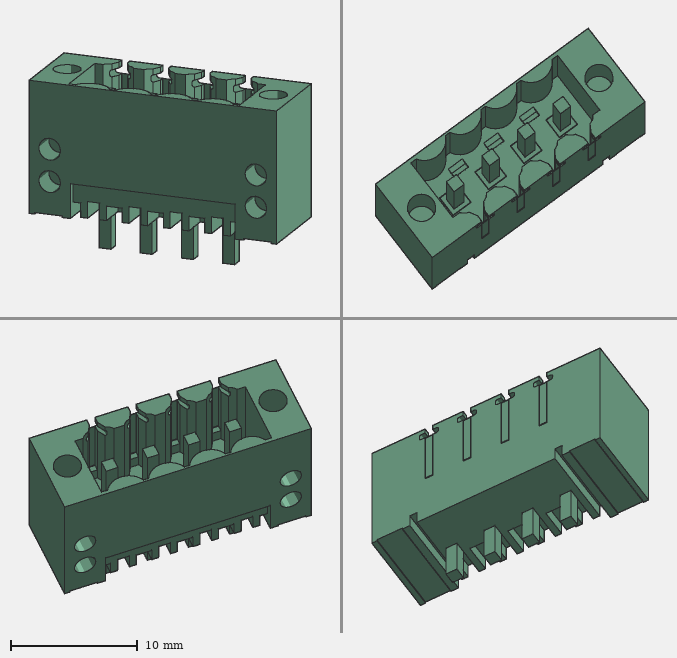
import cadquery as cq

LENGTH = 21.0
DEPTH = 7.45
HEIGHT = 11.07
BACK = DEPTH / 2
FRONT = -DEPTH / 2

PIN_COUNT = 4
PITCH = LENGTH / (PIN_COUNT + 2)
PIN_WIDTH = 1.0
PIN_TAIL = 3.2
PIN_TOP = 9.85
PIN_Y = -0.23
PIN_FRONT = PIN_Y - PIN_WIDTH / 2
PIN_XS = [(i - (PIN_COUNT - 1) / 2) * PITCH for i in range(PIN_COUNT)]
MID_XS = [x + PITCH / 2 for x in PIN_XS[:-1]]

CAVITY_LENGTH = 14.5
CAVITY_FLOOR = 4.0
BACK_WALL = 1.62
END_FRONT_WALL = 0.32
MIDDLE_FRONT_WALL = 0.19
BUMP_RADIUS = 1.7
BUMP_PEAK = 1.13

CHANNEL_WIDTH = 0.7
CHANNEL_FLOOR = 5.0
WEB_BACK = 0.02
WEB_FRONT = 0.06
FLARE_START = 0.55
KNEE_X = 0.71
KNEE_DEPTH = 1.2
MOUTH_X = 1.3
MOUTH_ARC_X = 1.07
MOUTH_ARC_DEPTH = 1.36

LATCH_LENGTH = 1.76
LATCH_HEIGHT = 0.59
LATCH_CORNER_RADIUS = 0.2
LATCH_BOTTOM = HEIGHT - 1.1

PIN_RECESS_WIDTH = 1.76
PIN_RECESS_DEPTH = 0.2
POCKET_WIDTH = 1.39
POCKET_BACK = BACK - 5.45
POCKET_RIDGE = BACK - 5.9
POCKET_FRONT = BACK - 6.28
POCKET_DEPTH = 0.38

HOLE_X = (PIN_COUNT + 1) / 2 * PITCH
TOP_HOLE_DIAMETER = 2.2
TOP_HOLE_DEPTH = 4.2
FRONT_HOLE_DIAMETER = 1.8
FRONT_HOLE_DEPTH = 2.1
FRONT_HOLE_ZS = (2.85, 5.55)

RECESS_LENGTH = PIN_COUNT * PITCH
RECESS_HEIGHT = 2.9
RECESS_DEPTH = 0.59
NOTCH_WIDTH = 0.65
NOTCH_HEIGHT = 1.2
GROOVE_WIDTH = 1.32
PIN_SLOT_HEIGHT = 1.39
FOOT_GAP_WIDTH = 2.33
FOOT_GAP_X = 8.86
FOOT_GAP_HEIGHT = 0.13


def block(x, width, y_front, y_back, z_bottom, z_top):
    """Box centred on x and spanning the given Y and Z limits."""
    size = (width, y_back - y_front, z_top - z_bottom)
    return cq.Workplane("XY").box(*size, centered=(True, False, False)).translate((x, y_front, z_bottom))


def plug_cavity():
    """Cavity open at the top, with a round bump on the front wall opposite each pin."""
    back = BACK - BACK_WALL
    cavity = block(0, CAVITY_LENGTH, FRONT + END_FRONT_WALL, back, CAVITY_FLOOR, HEIGHT)
    middle_length = PIN_XS[-1] - PIN_XS[0]
    cavity = cavity.union(block(0, middle_length, FRONT + MIDDLE_FRONT_WALL, back, CAVITY_FLOOR, HEIGHT))
    bumps = (
        cq.Workplane("XY", origin=(0, FRONT + BUMP_PEAK - BUMP_RADIUS, CAVITY_FLOOR))
        .pushPoints([(x, 0) for x in PIN_XS])
        .circle(BUMP_RADIUS)
        .extrude(HEIGHT - CAVITY_FLOOR)
    )
    return cavity.cut(bumps)


def keying_channel(x):
    """Channel flaring into the cavity, closed behind by a thin set-back web below the latch slot."""
    half = CHANNEL_WIDTH / 2
    flare = (
        cq.Workplane("XY", origin=(x, BACK, CAVITY_FLOOR))
        .moveTo(-half, -FLARE_START)
        .lineTo(half, -FLARE_START)
        .lineTo(KNEE_X, -KNEE_DEPTH)
        .threePointArc((MOUTH_ARC_X, -MOUTH_ARC_DEPTH), (MOUTH_X, -BACK_WALL))
        .lineTo(-MOUTH_X, -BACK_WALL)
        .threePointArc((-MOUTH_ARC_X, -MOUTH_ARC_DEPTH), (-KNEE_X, -KNEE_DEPTH))
        .close()
        .extrude(HEIGHT - CAVITY_FLOOR)
    )
    throat = block(x, CHANNEL_WIDTH, BACK - FLARE_START, BACK - WEB_FRONT, CHANNEL_FLOOR, HEIGHT)
    web_setback = block(x, CHANNEL_WIDTH, BACK - WEB_BACK, BACK, CHANNEL_FLOOR, HEIGHT)
    opening = block(x, CHANNEL_WIDTH, BACK - FLARE_START, BACK, LATCH_BOTTOM, HEIGHT)
    latch = block(x, LATCH_LENGTH, BACK - BACK_WALL, BACK, LATCH_BOTTOM, LATCH_BOTTOM + LATCH_HEIGHT)
    latch = latch.edges("|Y").fillet(LATCH_CORNER_RADIUS)
    return flare.union(throat).union(web_setback).union(opening).union(latch)


def floor_pocket(x):
    """Shallow pocket in the cavity floor whose front side slopes up to the floor."""
    return (
        cq.Workplane("YZ", origin=(x - POCKET_WIDTH / 2, 0, CAVITY_FLOOR))
        .polyline([
            (POCKET_BACK, 0),
            (POCKET_FRONT, 0),
            (POCKET_RIDGE, -POCKET_DEPTH),
            (POCKET_BACK, -POCKET_DEPTH),
        ])
        .close()
        .extrude(POCKET_WIDTH)
    )


def pin_passage(x):
    """Hole filled by the pin, a square recess around it above and an open slot in front of it below."""
    hole = block(x, PIN_WIDTH, PIN_FRONT, PIN_FRONT + PIN_WIDTH, 0, CAVITY_FLOOR)
    half = PIN_RECESS_WIDTH / 2
    recess_floor = CAVITY_FLOOR - PIN_RECESS_DEPTH
    recess = block(x, PIN_RECESS_WIDTH, PIN_Y - half, PIN_Y + half, recess_floor, CAVITY_FLOOR)
    slot = block(x, PIN_WIDTH, FRONT, PIN_FRONT, 0, PIN_SLOT_HEIGHT)
    return hole.union(recess).union(slot)


def end_block_holes(x):
    """Blind vertical hole and two blind front holes in one end block."""
    holes = (
        cq.Workplane("XY", origin=(x, 0, HEIGHT))
        .circle(TOP_HOLE_DIAMETER / 2)
        .extrude(-TOP_HOLE_DEPTH)
    )
    for z in FRONT_HOLE_ZS:
        front_hole = (
            cq.Workplane("XZ", origin=(x, FRONT, z))
            .circle(FRONT_HOLE_DIAMETER / 2)
            .extrude(-FRONT_HOLE_DEPTH)
        )
        holes = holes.union(front_hole)
    return holes


def make_housing():
    housing = block(0, LENGTH, FRONT, BACK, 0, HEIGHT)
    housing = housing.cut(plug_cavity())
    housing = housing.cut(block(0, RECESS_LENGTH, FRONT, FRONT + RECESS_DEPTH, 0, RECESS_HEIGHT))

    for x in PIN_XS:
        housing = housing.cut(keying_channel(x))
        housing = housing.cut(pin_passage(x))

    for x in MID_XS:
        housing = housing.cut(floor_pocket(x))
        housing = housing.cut(block(x, GROOVE_WIDTH, FRONT, PIN_FRONT, 0, NOTCH_HEIGHT))

    for side in (-1, 1):
        notch_x = side * (RECESS_LENGTH - NOTCH_WIDTH) / 2
        housing = housing.cut(block(notch_x, NOTCH_WIDTH, FRONT, BACK, 0, NOTCH_HEIGHT))
        housing = housing.cut(block(side * FOOT_GAP_X, FOOT_GAP_WIDTH, FRONT, BACK, 0, FOOT_GAP_HEIGHT))
        housing = housing.cut(end_block_holes(side * HOLE_X))
    return housing


def make_pin(x):
    return block(x, PIN_WIDTH, PIN_FRONT, PIN_FRONT + PIN_WIDTH, -PIN_TAIL, PIN_TOP)


housing = make_housing()
pins = [make_pin(x) for x in PIN_XS]

result = cq.Compound.makeCompound([housing.val(), *[pin.val() for pin in pins]])